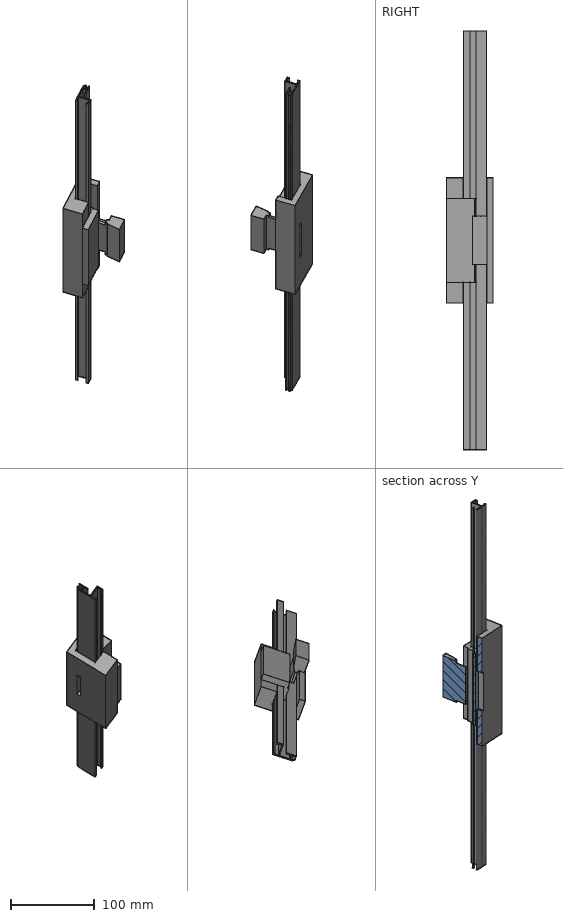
import cadquery as cq


carriage_width = 56.0
carriage_depth = 25.0
carriage_length = 150.0
wall = 7.5
channel_bottom = 20.0
channel_top = carriage_width - wall

cover_thickness = 7.5
cover_width = 33.5
cover_length = 100.0

rail_length = 500.0
clearance = 0.5
rail_left = wall + clearance
rail_right = carriage_depth - clearance
rail_bottom = channel_bottom + clearance
rail_top = channel_top - clearance
sheet = 1.5
floor_top = 28.5
bridge_top = 42.5
hook_right = 15.5
hook_bottom = 35.5
tip_thickness = 3.0
tip_length = 2.5
bend_x = 2.0
bend_y = 3.0

key_clearance = 0.25
arm_top = 35.0

blade_left = carriage_depth
blade_bottom = 36.0
blade_thickness = 5.0
blade_length = 52.5
blade_chamfer = 2.0
collar_left = 40.0
grip_left = 43.0
grip_right = 60.0
grip_length = 58.0
grip_top = channel_top
grip_bottom_left = 34.5
grip_bottom_right = 31.5


def block(x0, x1, y0, y1, length):
    """Box between the given X and Y limits, centred on Z = 0."""
    return cq.Workplane("XY").box(x1 - x0, y1 - y0, length).translate(((x0 + x1) / 2, (y0 + y1) / 2, 0))


def prism(points, length):
    """Closed XY outline extruded equally to both sides of Z = 0."""
    return cq.Workplane("XY").polyline(points).close().extrude(length / 2, both=True)


def make_carriage():
    body = block(0, carriage_depth, 0, carriage_width, carriage_length)
    channel = block(wall, carriage_depth, channel_bottom, channel_top, carriage_length)
    window = block(0, wall, blade_bottom, blade_bottom + blade_thickness, blade_length)
    return body.cut(channel).cut(window)


def make_cover():
    plate = block(carriage_depth, carriage_depth + cover_thickness, 0, cover_width, cover_length)
    key_left = rail_left + sheet + key_clearance
    key_bottom = floor_top + key_clearance
    upright_right = hook_right - sheet - key_clearance
    upright_top = bridge_top - sheet - key_clearance
    arm = block(key_left, carriage_depth, key_bottom, arm_top, cover_length)
    upright = block(key_left, upright_right, key_bottom, upright_top, cover_length)
    return plate.union(arm).union(upright)


def make_rail():
    web_right = rail_left + sheet
    hook_left = hook_right - sheet
    lip_left = rail_right - sheet
    floor_bottom = floor_top - sheet
    bridge_bottom = bridge_top - sheet
    tip_top = rail_bottom + tip_length
    outline = [
        (rail_left, rail_bottom),
        (rail_left + tip_thickness, rail_bottom),
        (web_right, tip_top),
        (web_right, floor_bottom),
        (lip_left, floor_bottom),
        (lip_left, tip_top),
        (rail_right - tip_thickness, rail_bottom),
        (rail_right, rail_bottom),
        (rail_right, floor_top),
        (web_right, floor_top),
        (web_right, bridge_bottom),
        (hook_left, bridge_bottom),
        (hook_left, hook_bottom),
        (hook_right, hook_bottom),
        (hook_right, rail_top),
        (hook_left, rail_top),
        (hook_left, bridge_top),
        (web_right, bridge_top),
        (web_right, rail_top - bend_y),
        (web_right + bend_x, rail_top),
        (rail_left + bend_x, rail_top),
        (rail_left, rail_top - bend_y),
    ]
    return prism(outline, rail_length)


def make_handle():
    blade_top = blade_bottom + blade_thickness
    blade = block(blade_left, collar_left, blade_bottom, blade_top, blade_length)
    blade = blade.edges("|X and <Y").chamfer(blade_chamfer)
    collar = block(collar_left, grip_left, blade_bottom, blade_top, grip_length)
    grip_outline = [
        (grip_left, grip_bottom_left),
        (grip_right, grip_bottom_right),
        (grip_right, grip_top),
        (grip_left, grip_top),
    ]
    return blade.union(collar).union(prism(grip_outline, grip_length))


carriage = make_carriage()
cover = make_cover()
rail = make_rail()
handle = make_handle()

result = cq.Compound.makeCompound([carriage.val(), cover.val(), rail.val(), handle.val()])